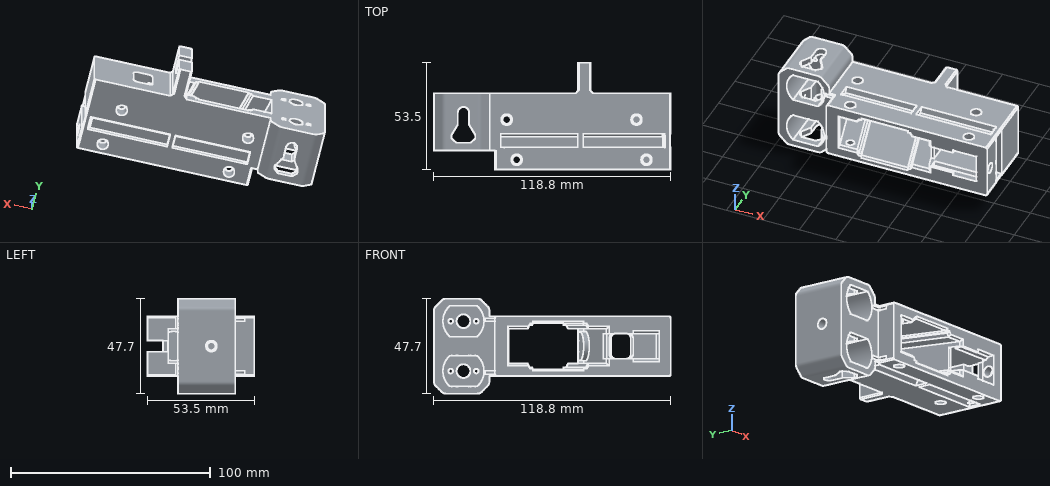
import cadquery as cq
import math

total_length = 118.75
body_depth = 38.3
total_depth = 53.5
edge_chamfer = 0.7
overcut = 1.0

body_left = 30.6
body_half_height = 15.0

block_right = 27.9
block_front = 9.5
block_half_height = 23.85
block_chamfer = 4.85
block_corner_radius = 3.0

pocket_x = 14.85
pocket_z = 12.5
pocket_diameter = 20.6
pocket_height = 15.4
pocket_floor = 35.3
shaft_hole_diameter = 6.75
screw_hole_diameter = 2.2
screw_hole_offset = 6.4

keyhole_width = 5.5
keyhole_end = 31.3
keyhole_neck_y = 22.5
keyhole_head_y = 17.3
keyhole_head_width = 11.8
keyhole_corner_y = 15.6
keyhole_base_y = 13.5
keyhole_base_width = 7.2

insert_mouth_diameter = 5.5
insert_inner_diameter = 4.1
insert_depth = 6.5
side_insert_depth = 10.0
side_insert_y = 21.5
rear_insert = (36.5, 25.0)
front_insert = (41.5, 4.9)
insert_spacing = 65.0

tie_radius = 4.8
tie_bottom = 12.35
tie_top = 14.0

well_slope = math.tan(math.radians(15))
well_left = 37.75
well_right = 86.7
well_half_height = 8.65
bay_left = 49.6
bay_right = 75.2
bay_half_height = 11.5
bay_lip_half_height = 10.5
bay_lip_width = 1.3
bay_ramp_width = 1.0
lead_in_depth = 1.2
lead_in_left = 0.8
lead_in_right = 1.2
lead_in_height = 1.2
lead_in_bay_height = 0.85
well_end = 43.0

catch_y = 40.4
catch_radius = 7.4
catch_thickness = 2.8

tab_left = 72.1
tab_right = 78.7
tab_gusset = 1.0
tab_slot_half_height = 2.7
tab_slot_start = 45.8
tab_recess_start = 43.3
tab_recess_depth = 2.0

channel_half_height = 6.25
channel_left = 86.5
channel_right = 111.4
channel_back = 34.0
channel_mouth_left = 84.0
channel_mouth_depth = 7.0
rail_left = 87.8
rail_right = 112.8
rail_half_height = 7.75
rail_front = 1.2
rail_slope_start = 3.6
rail_back = 5.2
rail_entry_left = 100.0
window_front = (87.9, 99.8)
window_back = (88.8, 98.6)
window_corner_radius = 2.2
end_hole_diameter = 5.5
end_hole_y = 3.6

strap_front = 11.1
strap_back = 18.0
strap_slope_width = 1.5
strap_slot_depth = 2.8
strap_slots = ((33.6, 72.1), (74.8, 115.7))
strap_guide_x = 114.3
strap_guide_bulge = 1.6
strap_bar_thickness = 1.6
strap_groove_depth = 0.45


def box(x_range, y_range, z_range):
    size = [high - low for low, high in (x_range, y_range, z_range)]
    corner = (x_range[0], y_range[0], z_range[0])
    return cq.Workplane("XY").box(*size, centered=False).translate(corner)


def symmetric(half):
    return (-half, half)


def both_sides(feature):
    """The feature together with its mirror image below the mid plane."""
    return feature.union(feature.mirror("XY"))


def along_y(start):
    """Sketch plane at Y = start whose local axes are -X and +Z and whose normal is +Y."""
    return cq.Workplane(cq.Plane(origin=(0, start, 0), xDir=(-1, 0, 0), normal=(0, 1, 0)))


def make_body():
    body = box((body_left, total_length), (0, body_depth), symmetric(body_half_height))
    body = body.edges("|Y").chamfer(edge_chamfer)
    tab = box((tab_left, tab_right), (body_depth - overcut, total_depth), symmetric(body_half_height))
    tab = tab.edges("|Y").chamfer(edge_chamfer)
    return body.union(tab).union(make_tab_gussets())


def make_tab_gussets():
    """Wedge behind the tab that slopes at 45 degrees into both of its sides."""
    inset = edge_chamfer
    return (
        cq.Workplane("XY", origin=(0, 0, -body_half_height))
        .polyline([
            (tab_left - tab_gusset, body_depth),
            (tab_left + inset, body_depth + tab_gusset + inset),
            (tab_right - inset, body_depth + tab_gusset + inset),
            (tab_right + tab_gusset, body_depth),
        ])
        .close()
        .extrude(2 * body_half_height)
    )


def make_block():
    block = box((0, block_right), (block_front, body_depth), symmetric(block_half_height))
    block = block.edges("|Y").chamfer(block_chamfer)
    block = block.edges("|Y").fillet(block_corner_radius)
    link = box(
        (block_right - overcut, body_left + overcut),
        (block_front, body_depth),
        symmetric(body_half_height),
    )
    return block.union(link)


def make_block_pocket():
    flats = box(
        (pocket_x - pocket_diameter, pocket_x + pocket_diameter),
        (block_front - overcut, pocket_floor),
        (pocket_z - pocket_height / 2, pocket_z + pocket_height / 2),
    )
    pocket = (
        along_y(block_front - overcut)
        .center(-pocket_x, pocket_z)
        .circle(pocket_diameter / 2)
        .extrude(pocket_floor - block_front + overcut)
        .intersect(flats)
    )
    hole_plane = along_y(pocket_floor - overcut).center(-pocket_x, pocket_z)
    hole_length = body_depth - pocket_floor + 2 * overcut
    shaft_hole = hole_plane.circle(shaft_hole_diameter / 2).extrude(hole_length)
    screw_holes = (
        hole_plane.pushPoints([(-screw_hole_offset, 0), (screw_hole_offset, 0)])
        .circle(screw_hole_diameter / 2)
        .extrude(hole_length)
    )
    return pocket.union(shaft_hole).union(screw_holes)


def make_keyhole():
    neck = keyhole_width / 2
    head = keyhole_head_width / 2
    base = keyhole_base_width / 2
    return (
        cq.Workplane("XY", origin=(pocket_x, 0, -block_half_height - overcut))
        .moveTo(-base, keyhole_base_y)
        .lineTo(base, keyhole_base_y)
        .lineTo(head, keyhole_corner_y)
        .lineTo(head, keyhole_head_y)
        .lineTo(neck, keyhole_neck_y)
        .lineTo(neck, keyhole_end - neck)
        .threePointArc((0, keyhole_end), (-neck, keyhole_end - neck))
        .lineTo(-neck, keyhole_neck_y)
        .lineTo(-head, keyhole_head_y)
        .lineTo(-head, keyhole_corner_y)
        .close()
        .extrude(2 * (block_half_height + overcut))
    )


def make_insert_hole(position, direction, depth):
    """Tapered hole that narrows from its mouth inwards."""
    cone = cq.Solid.makeCone(
        insert_mouth_diameter / 2,
        insert_inner_diameter / 2,
        depth,
        cq.Vector(*position),
        cq.Vector(*direction),
    )
    return cq.Workplane(cone)


def make_insert_holes():
    holes = make_insert_hole((0, side_insert_y, 0), (1, 0, 0), side_insert_depth)
    for x, y in (rear_insert, front_insert):
        for hole_x in (x, x + insert_spacing):
            mouth = (hole_x, y, body_half_height)
            holes = holes.union(both_sides(make_insert_hole(mouth, (0, 0, -1), insert_depth)))
    return holes


def make_tie_groove():
    return (
        cq.Workplane("XY", origin=(body_left, block_front, tie_bottom))
        .circle(tie_radius)
        .extrude(tie_top - tie_bottom)
    )


def well_outline(y, flared=False):
    """Well section at the given Y, flared by the lead-in where asked."""
    flare = 1 if flared else 0
    left = well_left - flare * lead_in_left
    right = well_right + flare * lead_in_right
    well_top = well_half_height + flare * lead_in_height
    lip_top = bay_lip_half_height + flare * lead_in_bay_height
    bay_top = bay_half_height + flare * lead_in_bay_height
    lip_left = bay_left - bay_lip_width
    lip_right = bay_right + bay_lip_width
    upper = [
        (left, well_top),
        (lip_left - bay_ramp_width, well_top),
        (lip_left, lip_top),
        (bay_left, lip_top),
        (bay_left, bay_top),
        (bay_right, bay_top),
        (bay_right, lip_top),
        (lip_right, lip_top),
        (lip_right + bay_ramp_width, well_top),
        (right, well_top),
    ]
    upper = [(x - well_slope * y, z) for x, z in upper]
    lower = [(x, -z) for x, z in reversed(upper)]
    return cq.Wire.makePolygon([cq.Vector(x, y, z) for x, z in upper + lower], close=True)


def make_well():
    sections = [well_outline(0), well_outline(well_end)]
    lead_in_sections = [well_outline(0, flared=True), well_outline(lead_in_depth)]
    well = cq.Workplane(cq.Solid.makeLoft(sections, True))
    lead_in = cq.Workplane(cq.Solid.makeLoft(lead_in_sections, True))
    return well.union(lead_in)


def make_catch():
    """Round boss on the sloping right wall of the well, cut flat at the well end."""
    catch_front = catch_y - catch_radius
    front_wall_x = well_right - well_slope * catch_front
    end_wall_x = well_right - well_slope * well_end
    slab = (
        cq.Workplane("XY", origin=(0, 0, -catch_radius))
        .polyline([
            (front_wall_x - catch_thickness, catch_front),
            (front_wall_x + overcut, catch_front),
            (end_wall_x + overcut, well_end),
            (end_wall_x - catch_thickness, well_end),
        ])
        .close()
        .extrude(2 * catch_radius)
    )
    disc = (
        cq.Workplane("YZ", origin=(tab_left, 0, 0))
        .center(catch_y, 0)
        .circle(catch_radius)
        .extrude(front_wall_x + overcut - tab_left)
    )
    return slab.intersect(disc)


def make_tab_slot():
    through = box(
        (tab_left - overcut, tab_right + overcut),
        (tab_slot_start, total_depth + overcut),
        symmetric(tab_slot_half_height),
    )
    recess = box(
        (tab_left - overcut, tab_left + tab_recess_depth),
        (tab_recess_start, total_depth + overcut),
        symmetric(tab_slot_half_height),
    )
    return through.union(recess)


def make_channel():
    height = symmetric(channel_half_height)
    mouth = box((channel_mouth_left, rail_right), (-overcut, channel_mouth_depth), height)
    channel = box((channel_left, channel_right), (0, channel_back), height)
    rail_entry = box((rail_entry_left, rail_right), (-overcut, rail_front), symmetric(rail_half_height))
    end_hole = (
        cq.Workplane("YZ", origin=(channel_right, 0, 0))
        .center(end_hole_y, 0)
        .circle(end_hole_diameter / 2)
        .extrude(total_length - channel_right + overcut)
    )
    channel = channel.union(mouth).union(make_rail()).union(rail_entry)
    return channel.union(end_hole).union(make_window())


def make_rail():
    """Groove above and below the channel whose back walls slope down to it."""
    return (
        cq.Workplane("YZ", origin=(rail_left, 0, 0))
        .polyline([
            (rail_front, -rail_half_height),
            (rail_slope_start, -rail_half_height),
            (rail_back, -channel_half_height),
            (rail_back, channel_half_height),
            (rail_slope_start, rail_half_height),
            (rail_front, rail_half_height),
        ])
        .close()
        .extrude(rail_right - rail_left)
    )


def make_window():
    """Opening in the channel's back wall that narrows towards the back."""
    front_width = window_front[1] - window_front[0]
    back_width = window_back[1] - window_back[0]
    front_middle = sum(window_front) / 2
    back_middle = sum(window_back) / 2
    height = 2 * channel_half_height
    front_sketch = cq.Sketch().rect(front_width, height).vertices().fillet(window_corner_radius)
    back_sketch = cq.Sketch().rect(back_width, height).vertices().fillet(window_corner_radius)
    return (
        along_y(channel_back)
        .placeSketch(
            front_sketch.moved(cq.Location(cq.Vector(-front_middle, 0, 0))),
            back_sketch.moved(cq.Location(cq.Vector(-back_middle, 0, body_depth - channel_back))),
        )
        .loft()
    )


def make_strap_slot(left, right):
    """Slot in the top face with an upright front wall and a sloping back wall."""
    floor = body_half_height - strap_slot_depth
    return (
        cq.Workplane("YZ", origin=(left, 0, 0))
        .polyline([
            (strap_front, body_half_height),
            (strap_front, floor),
            (strap_back - strap_slope_width, floor),
            (strap_back, body_half_height),
        ])
        .close()
        .extrude(right - left)
    )


def make_strap_exit():
    """Way out of the right end behind the corner bars, around a bulging inner wall."""
    width = (strap_front, strap_back)
    outside = total_length + overcut
    top = body_half_height - strap_bar_thickness
    passage = (
        along_y(strap_front)
        .moveTo(-outside, -top)
        .lineTo(-outside, top)
        .lineTo(-strap_guide_x, top)
        .threePointArc((-strap_guide_x - strap_guide_bulge, 0), (-strap_guide_x, -top))
        .close()
        .extrude(strap_back - strap_front)
    )
    groove = box((total_length - strap_groove_depth, outside), width, symmetric(body_half_height))
    height = symmetric(channel_half_height)
    inner_window = box((channel_right - overcut, strap_guide_x), (channel_mouth_depth, strap_back), height)
    outer_window = box((strap_guide_x, outside), width, height)
    return passage.union(groove).union(inner_window).union(outer_window)


part = make_body().union(make_block())

part = part.cut(both_sides(make_block_pocket()))
part = part.cut(make_keyhole())
part = part.cut(both_sides(make_tie_groove()))

part = part.cut(make_well())
part = part.union(make_catch())
part = part.cut(make_tab_slot())

part = part.cut(make_channel())
for slot_left, slot_right in strap_slots:
    part = part.cut(both_sides(make_strap_slot(slot_left, slot_right)))
part = part.cut(make_strap_exit())
part = part.cut(make_insert_holes())

result = cq.Workplane(part.val())